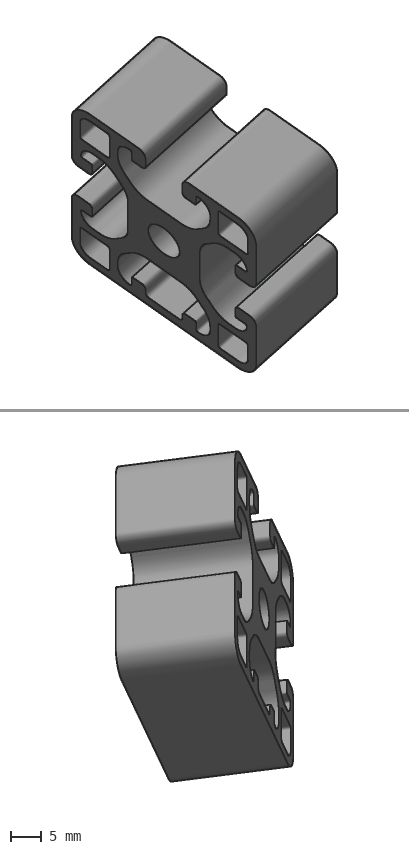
import cadquery as cq
import math

side = 40.0
length = 20.0
half_side = side / 2
outer_corner_radius = 4.0
bore_diameter = 6.8

mouth_half_width = 4.0
lip_half_width = 7.0
cavity_half_width = 10.0
wall_thickness = 2.0
lip_depth = 4.5
slot_depth = 12.2
web_thickness = 3.0

mouth_radius = 1.5
lip_mouth_radius = 0.8
lip_inner_radius = 0.3
lip_root_radius = 0.4
cavity_shoulder_radius = 2.55
cavity_web_radius = 5.0
closed_foot_radius = 0.8

hollow_inset = 1.8
hollow_size = 6.4
hollow_outer_radius = outer_corner_radius - hollow_inset
hollow_corner_radius = 0.5

ceiling = half_side - wall_thickness
lip_bottom = half_side - lip_depth
slot_floor = half_side - slot_depth

diagonal_shift = web_thickness / math.sqrt(2)
web_top = cavity_half_width + diagonal_shift
floor_half_width = slot_floor - diagonal_shift


def round_edges(body, points, radius):
    """Round the lengthwise edges through the given (x, z) points."""
    for x, z in points:
        body = body.edges(cq.NearestToPointSelector((x, 0, z))).fillet(radius)
    return body


def slot_void(mouth_top):
    """Space inside the upper T-slot, with its mouth reaching up to mouth_top."""
    right_half = [
        (mouth_half_width, mouth_top),
        (mouth_half_width, lip_bottom),
        (lip_half_width, lip_bottom),
        (lip_half_width, ceiling),
        (cavity_half_width, ceiling),
        (cavity_half_width, web_top),
        (floor_half_width, slot_floor),
    ]
    radii = [
        None,
        lip_mouth_radius,
        lip_inner_radius,
        lip_root_radius,
        cavity_shoulder_radius,
        cavity_web_radius,
        cavity_web_radius,
    ]
    left_half = [(-x, z) for x, z in reversed(right_half)]
    outline = cq.Workplane("XZ").polyline(right_half + left_half).close()
    void = outline.extrude(length / 2, both=True)
    for (x, z), radius in zip(right_half, radii):
        if radius:
            void = round_edges(void, [(x, z), (-x, z)], radius)
    return void


def open_slot():
    return slot_void(half_side)


def closed_slot():
    """T-slot void whose mouth is sealed by the outer wall."""
    feet = [(mouth_half_width, ceiling), (-mouth_half_width, ceiling)]
    return round_edges(slot_void(ceiling), feet, closed_foot_radius)


def corner_hollow():
    """Square hollow in the +X +Z corner, largest radius towards the outside."""
    outer = half_side - hollow_inset
    inner = outer - hollow_size
    centre = (outer + inner) / 2
    hollow = cq.Workplane("XY").box(hollow_size, length, hollow_size).translate((centre, 0, centre))
    hollow = round_edges(hollow, [(outer, outer)], hollow_outer_radius)
    return round_edges(hollow, [(outer, inner), (inner, outer), (inner, inner)], hollow_corner_radius)


def turned(body, angle):
    """Rotate a body about the length axis of the profile."""
    return body.rotate((0, 0, 0), (0, 1, 0), angle)


result = cq.Workplane("XY").box(side, length, side).edges("|Y").fillet(outer_corner_radius)
result = result.cut(cq.Workplane("XZ").circle(bore_diameter / 2).extrude(length / 2, both=True))

for angle in (0, 90, 180, 270):
    result = result.cut(turned(corner_hollow(), angle))

for angle in (-90, 0, 90):
    result = result.cut(turned(open_slot(), angle))
result = result.cut(turned(closed_slot(), 180))

for edge in (mouth_half_width, -mouth_half_width):
    mouth_edges = [(edge, half_side), (half_side, edge), (-half_side, edge)]
    result = round_edges(result, mouth_edges, mouth_radius)